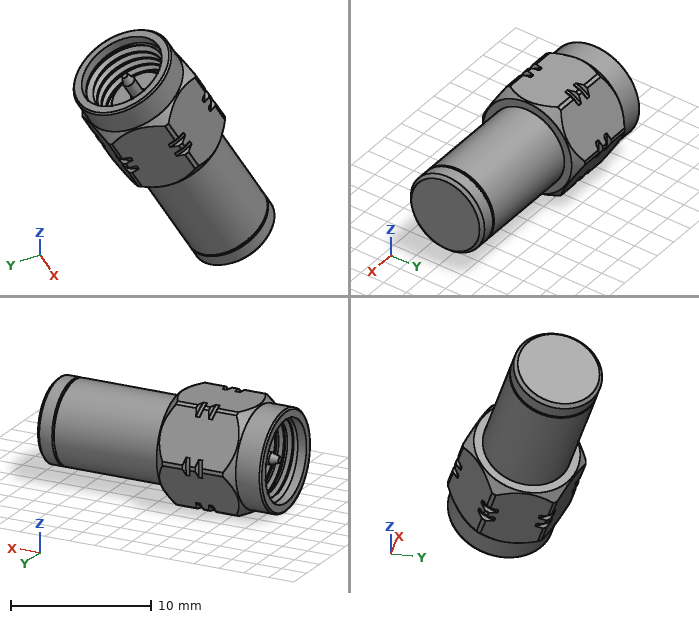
import cadquery as cq
import math

total_length = 18.4
nose_length = 2.02
nut_end = 8.39

across_flats = 7.95
corner_diameter = 9.0
nose_radius = 3.9
nose_chamfer = 0.13
front_bevel_length = 0.72
rear_bevel_length = 0.77
corner_radius = corner_diameter / 2

cut_clearance = 0.18

notch_centres = (4.7, 5.7)
notch_floor_radius = 4.25
notch_floor_width = 0.3
notch_mouth_width = 0.59

socket_radius = 3.18
socket_length = 0.7
lead_in_length = 0.4
thread_bore_radius = 2.82
socket_depth = 4.42

thread_pitch = 0.7
thread_root_radius = 3.16
thread_mouth_width = 0.53
thread_root_width = 0.11
thread_overlap = 0.05
thread_start = 0.2
thread_turns = 5.5
thread_start_angle = 180

boss_radius = 2.25
boss_chamfer = 0.13
boss_front = 2.75
pin_recess_radius = 0.6
pin_recess_depth = 0.18
pin_radius = 0.46
pin_tip_radius = 0.22
pin_tip = 0.5
pin_taper_length = 0.65

sleeve_radius = 3.25
sleeve_chamfer = 0.25
ring_groove_start = 16.96
ring_groove_width = 0.17
ring_groove_depth = 0.28


def turned(profile):
    """Revolve a closed outline of (x, radius) points about the X axis."""
    return cq.Workplane("XY").polyline(profile).close().revolve(360, (0, 0, 0), (1, 0, 0))


def disc(start, end, radius):
    """Plain cylinder on the X axis between two X positions."""
    return cq.Workplane("YZ", origin=(start, 0, 0)).circle(radius).extrude(end - start)


def make_notch(centre):
    """Ring with sloping walls that notches the hexagon corners."""
    half_floor = notch_floor_width / 2
    half_mouth = notch_mouth_width / 2
    outside = corner_radius + cut_clearance
    return turned([
        (centre - half_floor, notch_floor_radius),
        (centre + half_floor, notch_floor_radius),
        (centre + half_mouth, corner_radius),
        (centre + half_mouth, outside),
        (centre - half_mouth, outside),
        (centre - half_mouth, corner_radius),
    ])


def make_nut():
    """Hexagon with turned bevels, notched corners and a round nose in front."""
    hexagon = (
        cq.Workplane("YZ", origin=(nose_length, 0, 0))
        .polygon(6, across_flats / math.cos(math.pi / 6))
        .extrude(nut_end - nose_length)
    )
    envelope = turned([
        (nose_length, 0),
        (nose_length, nose_radius),
        (nose_length + front_bevel_length, corner_radius),
        (nut_end - rear_bevel_length, corner_radius),
        (nut_end, nose_radius),
        (nut_end, 0),
    ])
    nut = hexagon.intersect(envelope)
    for centre in notch_centres:
        nut = nut.cut(make_notch(centre))
    nose = disc(0, nose_length, nose_radius).faces("<X").chamfer(nose_chamfer)
    return nut.union(nose)


def make_sleeve():
    """Round rear sleeve with a narrow ring groove and a chamfered end."""
    sleeve = disc(nut_end, total_length, sleeve_radius).faces(">X").chamfer(sleeve_chamfer)
    groove_end = ring_groove_start + ring_groove_width
    groove = disc(ring_groove_start, groove_end, sleeve_radius + cut_clearance).cut(
        disc(ring_groove_start, groove_end, sleeve_radius - ring_groove_depth)
    )
    return sleeve.cut(groove)


def make_socket():
    """Cavity of the nose: clearance bore, conical lead-in and thread bore."""
    lead_in_end = socket_length + lead_in_length
    return turned([
        (0, 0),
        (0, socket_radius),
        (socket_length, socket_radius),
        (lead_in_end, thread_bore_radius),
        (socket_depth, thread_bore_radius),
        (socket_depth, 0),
    ])


def make_thread():
    """Helical groove with a trapezoidal section, cut into the thread bore."""
    inner_radius = thread_bore_radius - thread_overlap
    flank_slope = (thread_mouth_width - thread_root_width) / 2 / (thread_root_radius - thread_bore_radius)
    half_root = thread_root_width / 2
    half_inner = thread_mouth_width / 2 + flank_slope * thread_overlap
    path = cq.Wire.makeHelix(thread_pitch, thread_pitch * thread_turns, thread_bore_radius)
    groove = (
        cq.Workplane("XZ")
        .polyline([
            (inner_radius, -half_inner),
            (thread_root_radius, -half_root),
            (thread_root_radius, half_root),
            (inner_radius, half_inner),
        ])
        .close()
        .sweep(cq.Workplane(path), isFrenet=True)
    )
    groove = groove.rotate((0, 0, 0), (0, 0, 1), thread_start_angle)
    return groove.rotate((0, 0, 0), (0, 1, 0), 90).translate((thread_start, 0, 0))


def make_contact():
    """Chamfered boss at the bottom of the socket carrying the tapered pin."""
    boss = disc(boss_front, socket_depth, boss_radius).faces("<X").chamfer(boss_chamfer)
    recess_floor = boss_front + pin_recess_depth
    boss = boss.cut(disc(boss_front, recess_floor, pin_recess_radius))
    pin = turned([
        (pin_tip, 0),
        (pin_tip, pin_tip_radius),
        (pin_tip + pin_taper_length, pin_radius),
        (socket_depth, pin_radius),
        (socket_depth, 0),
    ])
    return boss.union(pin)


body = make_nut().union(make_sleeve())
result = body.cut(make_socket()).cut(make_thread()).union(make_contact())